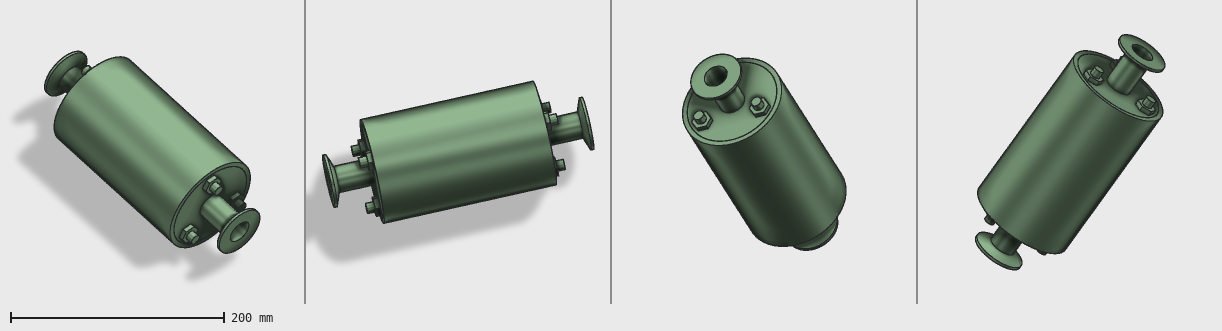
import cadquery as cq
import math

overall_length = 250.0
shell_length = 166.0
shell_diameter = 100.0
shell_bore = 90.5
core_diameter = 90.0

tube_diameter = 25.5
flow_bore = 23.0
flange_diameter = 50.5
rim_thickness = 2.8
cone_depth = 4.8

stud_count = 3
stud_diameter = 10.0
stud_projection = 12.2
stud_circle_radius = 33.5
nut_across_flats = 17.0
nut_height = 4.8

half_length = overall_length / 2
half_shell = shell_length / 2
rim_back = half_length - rim_thickness
cone_end = rim_back - cone_depth
nut_across_corners = nut_across_flats / math.cos(math.pi / 6)


def x_cylinder(diameter, length):
    """Cylinder on the X axis, centred on the origin."""
    return cq.Workplane("YZ", origin=(-length / 2, 0, 0)).circle(diameter / 2).extrude(length)


def make_shell():
    """Outer sleeve, a plain tube with a small clearance around the core."""
    return x_cylinder(shell_diameter, shell_length).cut(x_cylinder(shell_bore, shell_length))


def make_core_blank():
    """Revolved core: central plug, two tubes and their tapered end flanges."""
    core_radius = core_diameter / 2
    tube_radius = tube_diameter / 2
    flange_radius = flange_diameter / 2
    return (
        cq.Workplane("XY")
        .moveTo(-half_length, 0)
        .lineTo(-half_length, flange_radius)
        .lineTo(-rim_back, flange_radius)
        .lineTo(-cone_end, tube_radius)
        .lineTo(-half_shell, tube_radius)
        .lineTo(-half_shell, core_radius)
        .lineTo(half_shell, core_radius)
        .lineTo(half_shell, tube_radius)
        .lineTo(cone_end, tube_radius)
        .lineTo(rim_back, flange_radius)
        .lineTo(half_length, flange_radius)
        .lineTo(half_length, 0)
        .close()
        .revolve(360, (0, 0, 0), (1, 0, 0))
    )


def make_fastener(angle):
    """Nuts and stud ends at one angle; the stud runs through the core to both end faces."""
    y = stud_circle_radius * math.cos(angle)
    z = stud_circle_radius * math.sin(angle)
    nut_span = shell_length + 2 * nut_height
    stud_span = shell_length + 2 * stud_projection
    nuts = (
        cq.Workplane("YZ", origin=(-nut_span / 2, 0, 0))
        .polygon(6, nut_across_corners)
        .extrude(nut_span)
        .cut(cq.Workplane("XY").box(shell_length, nut_across_corners, nut_across_corners))
    )
    return nuts.union(x_cylinder(stud_diameter, stud_span)).translate((0, y, z))


def make_core():
    """Core with its fasteners and the flow bore running through from end to end."""
    core = make_core_blank()
    for i in range(stud_count):
        angle = math.pi / 2 + i * 2 * math.pi / stud_count
        core = core.union(make_fastener(angle))
    return core.cut(x_cylinder(flow_bore, overall_length))


shell = make_shell()
core = make_core()

result = cq.Compound.makeCompound([shell.val(), *core.solids().vals()])